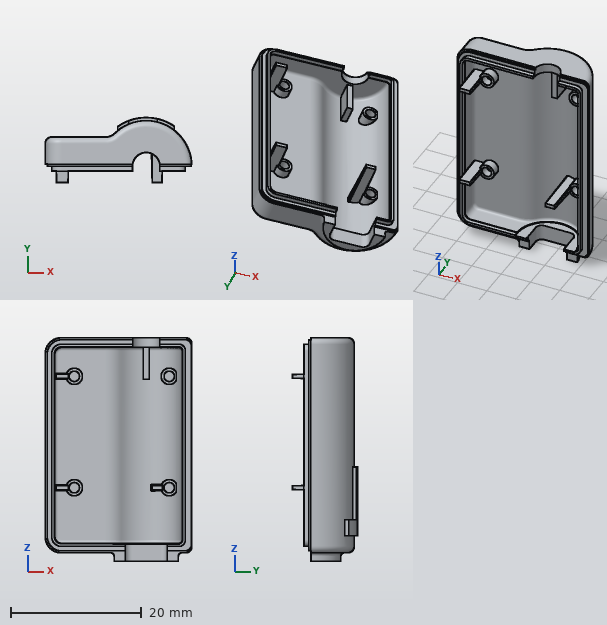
import cadquery as cq
import math

barrel_radius = 7.0
plate_left = -15.5
plate_height = 4.5
blend_radius = 2.0
length = 33.0
corner_radius = 2.5
end_fillet = 1.0
wall = 1.5
cavity_fillet = 0.5

step_height = 0.33
step_inset = 0.33
step_inset_barrel = 0.1
lip_height = 0.75
lip_inset = 1.0
lip_thickness = 0.42

tab_radius = 4.95
tab_length = 1.29
tab_fillet = 0.5
recess_radius = 5.1
recess_depth = 0.15
opening_half_width = 3.2
opening_height = 3.6
opening_corner = 1.0

cable_radius = 2.1
rib_width = 0.94
rib_bottom = 26.6
rib_front = 2.5

boss_radius = 1.25
boss_bore = 0.8
boss_rows = (10.0, 27.07)
boss_bore_depth = 1.5
plate_boss_x = -11.03
plate_boss_face = 1.5
barrel_boss_x = 3.52
barrel_boss_face = 3.0

prong_tip = -2.5
prong_tip_thickness = 0.6
prong_draft = 1.5
plate_prong_x = (-13.76, -11.97)
barrel_prong_x = (0.9, 2.42)

pad_radius = 7.5
pad_bar = (-4.4, 4.3, 2.6, 5.1)
pad_stem = (-2.67, 1.7, 5.1, 13.2)

root = 0.5


def box(x_range, y_range, z_range):
    """Axis-aligned box between the given limits."""
    size = [high - low for low, high in (x_range, y_range, z_range)]
    corner = (x_range[0], y_range[0], z_range[0])
    return cq.Workplane("XY").box(*size, centered=False).translate(corner)


def shell_profile(inset, bottom, z_start, z_end):
    """Plate and barrel cross-section, moved inwards by inset and extruded along Z."""
    radius = barrel_radius - inset
    top = plate_height - inset
    blend = blend_radius + inset
    centre_y = plate_height + blend_radius
    centre_x = -math.sqrt((barrel_radius + blend_radius) ** 2 - centre_y**2)
    reach = radius / (barrel_radius + blend_radius)
    tangent = (centre_x * reach, centre_y * reach)
    mid_angle = (-math.pi / 2 + math.atan2(-centre_y, -centre_x)) / 2
    blend_mid = (centre_x + blend * math.cos(mid_angle), centre_y + blend * math.sin(mid_angle))
    left = plate_left + inset
    profile = (
        cq.Workplane("XY", origin=(0, 0, z_start))
        .moveTo(left, bottom)
        .lineTo(left, top)
        .lineTo(centre_x, top)
        .threePointArc(blend_mid, tangent)
        .threePointArc((0, radius), (radius, 0))
    )
    if bottom < 0:
        profile = profile.lineTo(radius, bottom)
    return profile.close().extrude(z_end - z_start)


def rim_outline(inset, right_inset, right_corner, y_start, y_end):
    """Rounded rectangle following the rim, extruded from y_start to y_end."""
    block = box(
        (plate_left + inset, barrel_radius - right_inset), (y_start, y_end), (inset, length - inset)
    )
    block = block.edges("|Y and <X").fillet(corner_radius - inset)
    return block.edges("|Y and >X").fillet(right_corner)


def cylinder(x, z, radius, y_start, y_end):
    """Cylinder along Y."""
    plane = cq.Workplane("XZ", origin=(x, y_start, z))
    return plane.circle(radius).extrude(y_start - y_end)


def outer_body():
    """Solid outer form with the stepped rim and the lip."""
    body = shell_profile(0, 0, 0, length)
    body = body.edges("|Y and <X").fillet(corner_radius)
    body = body.faces("<Z or >Z").edges("not(<Y)").fillet(end_fillet)

    beyond = box((plate_left, barrel_radius), (0, step_height), (0, length))
    step_corner = end_fillet - step_inset_barrel
    kept = rim_outline(step_inset, step_inset_barrel, step_corner, 0, step_height)
    body = body.cut(beyond.cut(kept))

    return body.union(rim_outline(lip_inset, lip_inset, end_fillet, -lip_height, root))


def connector_tab():
    """Half disc below the lower end, rooted in the end wall."""
    disc = cq.Workplane("XY", origin=(0, 0, -tab_length)).circle(tab_radius)
    disc = disc.extrude(tab_length + wall)
    above_step = box((-tab_radius, tab_radius), (step_height, tab_radius), (-tab_length, wall))
    return disc.intersect(above_step)


def tab_blend():
    """Concave ring that fillets the tab into the end wall."""
    bulge = tab_fillet * (1 - math.sqrt(0.5))
    ring = (
        cq.Workplane("XZ")
        .moveTo(tab_radius, 0)
        .lineTo(tab_radius + tab_fillet, 0)
        .threePointArc((tab_radius + bulge, -bulge), (tab_radius, -tab_fillet))
        .lineTo(tab_radius - tab_fillet, -tab_fillet)
        .lineTo(tab_radius - tab_fillet, 0)
        .close()
        .revolve(360, (0, 0, 0), (0, 1, 0))
    )
    reach = tab_radius + tab_fillet
    return ring.intersect(box((-reach, reach), (step_height, reach), (-tab_fillet, 0)))


def cavity():
    """Inside space, slightly wider within the lip and open towards -Y."""
    space = shell_profile(wall, 0, wall, length - wall)
    space = space.edges("|Y and <X").fillet(corner_radius - wall)
    space = space.faces("<Z or >Z").edges("not(<Y)").fillet(cavity_fillet)

    mouth_inset = lip_inset + lip_thickness
    mouth_corner = end_fillet - lip_thickness
    return space.union(rim_outline(mouth_inset, mouth_inset, mouth_corner, -lip_height, 0))


def connector_opening():
    """Rounded slot through the lower end and tab, with a shallow recess inside."""
    slot = box(
        (-opening_half_width, opening_half_width), (-lip_height, opening_height), (-tab_length, wall)
    )
    slot = slot.edges("|Z and >Y").fillet(opening_corner)
    recess = cq.Workplane("XY", origin=(0, 0, wall - recess_depth)).circle(recess_radius)
    return slot.union(recess.extrude(recess_depth))


def cable_hole():
    """Half-round notch through the upper end, running straight down through the lip."""
    hole = cq.Workplane("XY", origin=(0, 0, length - wall)).circle(cable_radius).extrude(wall)
    return hole.union(box((-cable_radius, cable_radius), (-lip_height, 0), (length - wall, length)))


def boss(x, z, face):
    """Screw boss; its root is long enough to reach the wall behind."""
    return cylinder(x, z, boss_radius, face, barrel_radius)


def prong(x_range, z, wall_y):
    """Prong that widens from its tip towards the wall."""
    middle = sum(x_range) / 2
    width = x_range[1] - x_range[0]
    tip = cq.Workplane("XZ", origin=(middle, prong_tip, z)).rect(width, prong_tip_thickness)
    return tip.extrude(prong_tip - wall_y, taper=-prong_draft)


def pad():
    """Raised T on the back of the barrel."""
    disc = cq.Workplane("XY").circle(pad_radius).extrude(length)
    disc = disc.cut(cq.Workplane("XY").circle(barrel_radius - root).extrude(length))
    left, right, bottom, top = pad_bar
    shape = box((left, right), (0, pad_radius), (bottom, top))
    left, right, bottom, top = pad_stem
    shape = shape.union(box((left, right), (0, pad_radius), (bottom, top)))
    return disc.intersect(shape)


def inner_details():
    """Rib, prongs and bosses, trimmed so they end within the wall."""
    floor_y = plate_height - wall
    barrel_y = barrel_radius - wall
    half_rib = rib_width / 2
    details = box((-half_rib, half_rib), (rib_front, barrel_y + root), (rib_bottom, length - wall))
    details = details.union(prong(barrel_prong_x, boss_rows[0], barrel_y))
    for row in boss_rows:
        details = details.union(boss(plate_boss_x, row, plate_boss_face))
        details = details.union(boss(barrel_boss_x, row, barrel_boss_face))
        details = details.union(prong(plate_prong_x, row, floor_y + root))
    return details.intersect(shell_profile(wall - root, prong_tip, wall, length - wall))


def drill_bosses(body):
    """Blind bore in every boss, also clearing the edge of the prong beside it."""
    for row in boss_rows:
        for x, face in ((plate_boss_x, plate_boss_face), (barrel_boss_x, barrel_boss_face)):
            body = body.cut(cylinder(x, row, boss_bore, face, face + boss_bore_depth))
    return body


case = outer_body().union(connector_tab()).union(tab_blend())
case = case.cut(cavity()).cut(connector_opening()).cut(cable_hole())
case = drill_bosses(case.union(inner_details()))

result = case.union(pad())